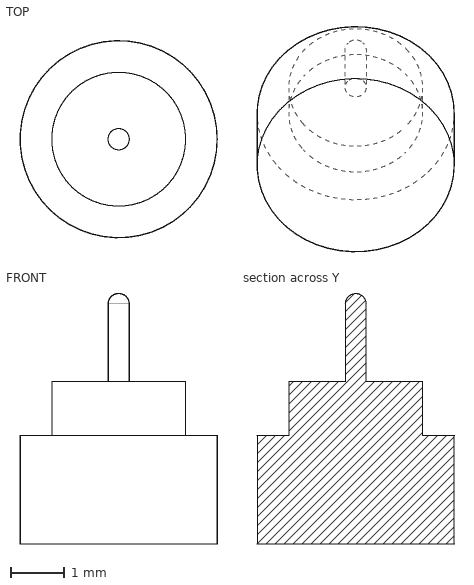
import cadquery as cq

total_height = 4.7
body_diameter = 3.7
body_height = 2.04
shoulder_diameter = 2.51
shoulder_height = 1.01
pin_diameter = 0.4
tip_height = 0.19

pin_radius = pin_diameter / 2
pin_base = body_height + shoulder_height
tip_base = total_height - tip_height

body = cq.Workplane("XY").circle(body_diameter / 2).extrude(body_height)
housing = body.faces(">Z").workplane().circle(shoulder_diameter / 2).extrude(shoulder_height)

dome_radius = (pin_radius**2 + tip_height**2) / (2 * tip_height)
dome_center = total_height - dome_radius
dome_mid = dome_radius / 2**0.5
pin = (
    cq.Workplane("XZ")
    .moveTo(0, pin_base)
    .lineTo(pin_radius, pin_base)
    .lineTo(pin_radius, tip_base)
    .threePointArc((dome_mid, dome_center + dome_mid), (0, total_height))
    .close()
    .revolve(360, (0, 0, 0), (0, 1, 0))
)

result = housing.union(pin)